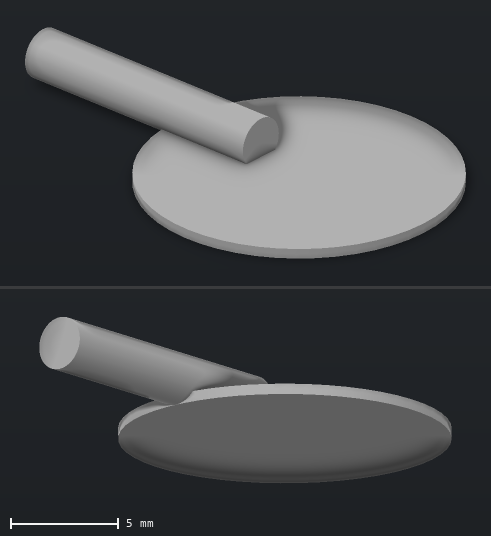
import cadquery as cq

overall_length = 23.75
disc_diameter = 15.5
disc_thickness = 0.5
rod_diameter = 2.5
rod_length = 13.6
groove_floor = 0.005

disc_center_x = overall_length - disc_diameter / 2
rod_axis_z = groove_floor + rod_diameter / 2


def make_rod():
    """Plain round rod lying along X."""
    return (
        cq.Workplane("YZ")
        .center(0, rod_axis_z)
        .circle(rod_diameter / 2)
        .extrude(rod_length)
    )


def make_disc(rod):
    """Flat round plate with a blind groove that the rod is seated in."""
    plate = (
        cq.Workplane("XY")
        .center(disc_center_x, 0)
        .circle(disc_diameter / 2)
        .extrude(disc_thickness)
    )
    return plate.cut(rod).solids()


rod = make_rod()
disc = make_disc(rod)

result = cq.Compound.makeCompound([rod.val(), disc.val()])